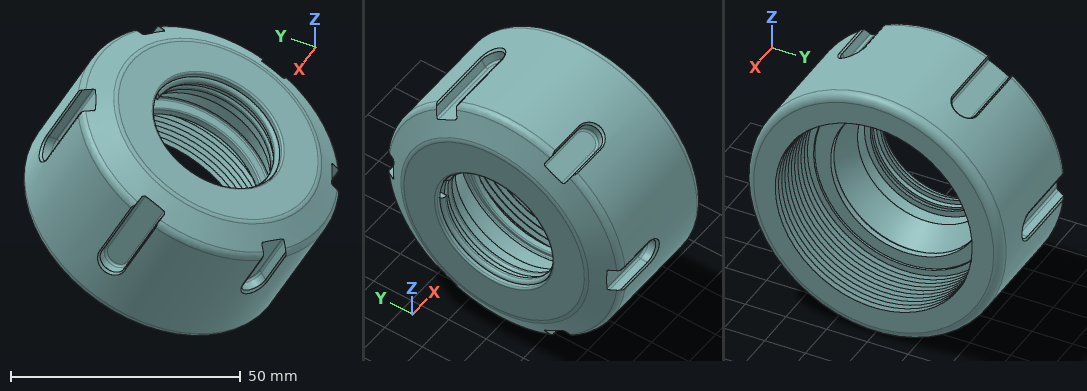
import cadquery as cq
import math


outer_radius = 31.5
length = 34.0
cone_corner_x = 4.0
cone_half_angle = 60.0
front_edge_radius = 2.0
shoulder_radius = 2.0
rear_edge_radius = 2.0

lip_radius = 15.5
lip_length = 1.4
mouth_fillet = 0.45
ring_groove_radius = 17.0
cavity_radius = 22.7
thread_radius = 24.2
thread_pitch = 1.5
thread_turns = 10
flank_angle = 30.0

slot_count = 6
slot_floor_radius = 28.5
slot_half_width = 3.1
slot_floor_fillet = 0.5
slot_chamfer_start = 30.95
short_slot_centre_x = 14.1
long_slot_centre_x = 20.9
slot_overshoot = 1.25

retainer_length = 1.45
retainer_inner_radius = 14.7
retainer_edge_radius = 0.9
retainer_gap_angle = 25.0
retainer_clearance = 0.3

spacer_length = 1.25
spacer_inner_radius = 15.5
nose_radius = 15.5
nose_end_x = 6.0
nose_fillet = 1.15
seat_radius = 16.95
seat_start_x = 9.2
seat_angle = 30.0
seat_end_x = 15.75
extraction_groove_length = 0.8
flange_length = 1.75
flange_bore_radius = 18.8
flange_bore_drop = 0.9
flange_edge_fillet = 0.3
flange_root_fillet = 0.3

retainer_start_x = lip_length
spacer_start_x = retainer_start_x + retainer_length + retainer_clearance
pressure_start_x = spacer_start_x + spacer_length
flange_start_x = seat_end_x + extraction_groove_length
thread_start_x = length - thread_turns * thread_pitch


def revolved(profile):
    """Turn a closed (x, r) outline about the X axis."""
    return profile.close().revolve(360, (0, 0, 0), (1, 0, 0))


def tube(start_x, end_x, inner_radius, outer_radius):
    """Plain ring about the X axis."""
    return (
        cq.Workplane("YZ", origin=(start_x, 0, 0))
        .circle(outer_radius)
        .circle(inner_radius)
        .extrude(end_x - start_x)
    )


def housing_blank():
    """Turned outside of the housing with its three rounded edges, still solid inside."""
    face_radius = outer_radius - cone_corner_x * math.tan(math.radians(cone_half_angle))
    blank = revolved(
        cq.Workplane("XZ")
        .moveTo(0, 0)
        .lineTo(0, face_radius)
        .lineTo(cone_corner_x, outer_radius)
        .lineTo(length, outer_radius)
        .lineTo(length, 0)
    )
    shoulder = cq.NearestToPointSelector((cone_corner_x, 0, 0))
    blank = blank.edges(shoulder).fillet(shoulder_radius)
    blank = blank.faces("<X").edges().fillet(front_edge_radius)
    return blank.faces(">X").edges().fillet(rear_edge_radius)


def housing_bore():
    """Stepped bore with a rounded mouth and annular thread grooves."""
    groove_depth = thread_pitch / 2 / math.tan(math.radians(flank_angle))
    outline = (
        cq.Workplane("XZ")
        .moveTo(0, 0)
        .lineTo(0, lip_radius + mouth_fillet)
        .radiusArc((mouth_fillet, lip_radius), -mouth_fillet)
        .lineTo(lip_length, lip_radius)
        .lineTo(lip_length, ring_groove_radius)
        .lineTo(spacer_start_x, ring_groove_radius)
        .lineTo(spacer_start_x, cavity_radius)
        .lineTo(thread_start_x, cavity_radius)
        .lineTo(thread_start_x, thread_radius)
    )
    for turn in range(thread_turns):
        groove_x = thread_start_x + turn * thread_pitch
        outline = outline.lineTo(groove_x + thread_pitch / 2, thread_radius + groove_depth)
        outline = outline.lineTo(groove_x + thread_pitch, thread_radius)
    return revolved(outline.lineTo(length, 0))


def slot_outline(base_radius, centre_x, half_width):
    """Obround on a plane square to +Z, open toward the front."""
    start_x = -slot_overshoot
    return (
        cq.Workplane("XY", origin=(0, 0, base_radius))
        .moveTo(start_x, -half_width)
        .lineTo(centre_x, -half_width)
        .threePointArc((centre_x + half_width, 0), (centre_x, half_width))
        .lineTo(start_x, half_width)
        .close()
    )


def slot_cutter(angle, centre_x):
    """Wrench slot with a rounded floor and chamfered rim, turned from +Z about the X axis."""
    top_radius = outer_radius + slot_overshoot
    walls = slot_outline(slot_floor_radius, centre_x, slot_half_width).extrude(top_radius - slot_floor_radius)
    walls = walls.faces("<Z").edges("not <X").fillet(slot_floor_fillet)
    rim = slot_outline(slot_chamfer_start, centre_x, slot_half_width)
    rim = rim.extrude(top_radius - slot_chamfer_start, taper=-45)
    return walls.union(rim).rotate((0, 0, 0), (1, 0, 0), angle)


def make_housing():
    body = housing_blank().cut(housing_bore())
    for index in range(slot_count):
        angle = (index + 0.5) * 360 / slot_count
        on_minus_y_side = angle < 180
        centre_x = short_slot_centre_x if on_minus_y_side else long_slot_centre_x
        body = body.cut(slot_cutter(angle, centre_x))
    return body


def make_retaining_ring():
    """Snap ring with a rounded inner front edge and one gap that starts at +Y and opens toward +Z."""
    end_x = retainer_start_x + retainer_length
    ring = tube(retainer_start_x, end_x, retainer_inner_radius, ring_groove_radius)
    ring = ring.faces("<X").edges(cq.selectors.RadiusNthSelector(0)).fillet(retainer_edge_radius)
    reach = 2 * ring_groove_radius
    gap_angle = math.radians(retainer_gap_angle)
    gap = (
        cq.Workplane("YZ", origin=(retainer_start_x, 0, 0))
        .polyline([(0, 0), (reach, 0), (reach, reach * math.tan(gap_angle))])
        .close()
        .extrude(retainer_length)
    )
    return ring.cut(gap)


def make_spacer():
    return tube(spacer_start_x, pressure_start_x, spacer_inner_radius, cavity_radius)


def extraction_flange():
    """Rear flange of the pressure ring; its eccentric bore grips the groove of the collet."""
    flange = (
        cq.Workplane("YZ", origin=(flange_start_x, 0, 0))
        .circle(cavity_radius)
        .moveTo(0, -flange_bore_drop)
        .circle(flange_bore_radius)
        .extrude(flange_length)
    )
    return flange.faces("<X").edges(cq.selectors.RadiusNthSelector(0)).fillet(flange_edge_fillet)


def make_pressure_ring():
    """Ring with a rounded nose, a conical seat that widens toward the thread and an extraction flange."""
    seat_end_radius = seat_radius + (seat_end_x - seat_start_x) * math.tan(math.radians(seat_angle))
    seat_ring = revolved(
        cq.Workplane("XZ")
        .moveTo(pressure_start_x, cavity_radius)
        .lineTo(pressure_start_x, nose_radius + nose_fillet)
        .radiusArc((pressure_start_x + nose_fillet, nose_radius), -nose_fillet)
        .lineTo(nose_end_x, nose_radius)
        .lineTo(nose_end_x, seat_radius)
        .lineTo(seat_start_x, seat_radius)
        .lineTo(seat_end_x, seat_end_radius)
        .lineTo(flange_start_x - flange_root_fillet, seat_end_radius)
        .radiusArc((flange_start_x, seat_end_radius - flange_root_fillet), flange_root_fillet)
        .lineTo(flange_start_x, cavity_radius)
    )
    return seat_ring.union(extraction_flange())


housing = make_housing()
retaining_ring = make_retaining_ring()
spacer = make_spacer()
pressure_ring = make_pressure_ring()

result = cq.Compound.makeCompound([housing.val(), retaining_ring.val(), spacer.val(), pressure_ring.val()])